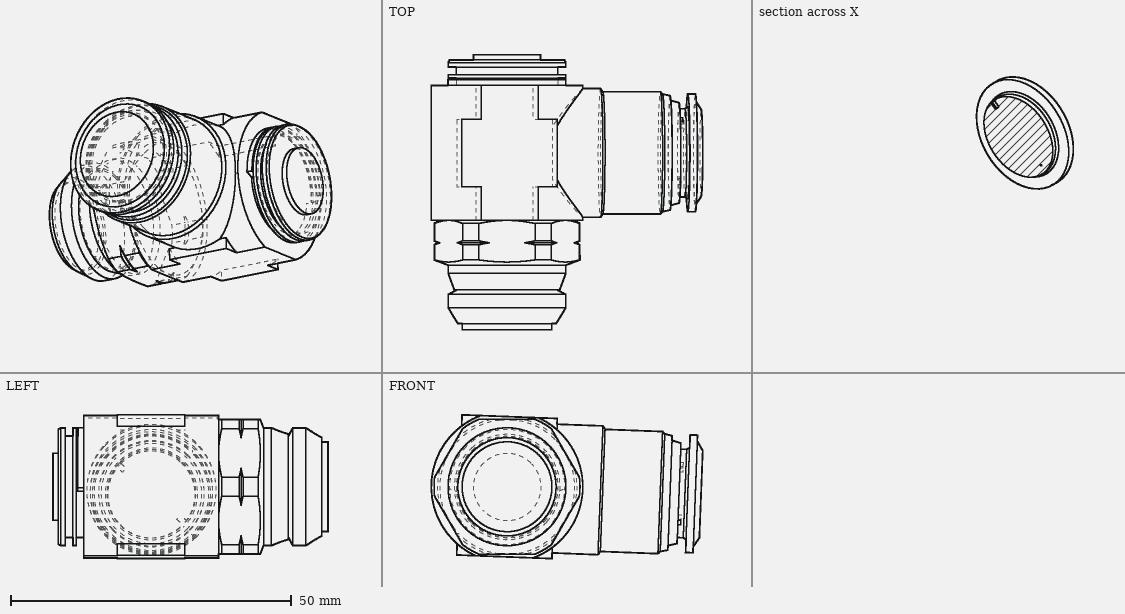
import math

import cadquery as cq

SWIVEL_ANGLE = 2.2

BODY_RADIUS = 13.5
BODY_HALF_LENGTH = 12.0
FLAT_SPACING = 25.0
PAD_WIDTH = 17.0
PAD_LENGTH = 12.0

COLLAR_RADIUS = 10.5
HEX_ACROSS_FLATS = 24.0
HEX_CORNER_RADIUS = 13.0
HEX_START = -BODY_HALF_LENGTH
HEX_END = -20.0
HEX_TOP_CHAMFER = 0.55
HEX_END_CONE = 0.95
HEX_GROOVE_DEPTH = 0.6
HEX_GROOVE_HALF_WIDTH = 0.35
COLLAR_END = -21.4
NECK_CONE_RADIUS = 9.4
NECK_RADIUS = 9.0
NECK_POSITION = -24.4
SEAL_START = -25.2
SEAL_END = -27.55
NOSE_CONE_RADIUS = 8.75
NOSE_CONE_END = -30.4
NOSE_RADIUS = 8.0
STEM_END = -31.5

CAP_NECK_RADIUS = 9.05
CAP_RADIUS = 6.0
CAP_END = 17.5
CAP_FLANGE_BOTTOM = 15.25
CAP_FLANGE_TOP = 16.55
CAP_FLANGE_CHAMFER_HEIGHT = 0.5
CAP_FLANGE_CHAMFER_WIDTH = 0.25
CAP_DISC_BOTTOM = 13.3
CAP_DISC_TOP = 13.95
STOP_RING_HEIGHT = 1.05
STOP_RING_END_Z = -0.2
STOP_RING_END_SLOPE = 22.5

SHELL_RADIUS = 11.5
SHELL_END = 16.65
SHELL_CHAMFER = 0.4
SLEEVE_RADIUS = 10.9
SLEEVE_END = 27.3
SLEEVE_CHAMFER = 0.4
BUSH_TIP_RADIUS = 10.2
BUSH_END = 29.05
LIP_BASE_RADIUS = 9.4
LIP_TIP_RADIUS = 8.95
LIP_END = 30.65
RELEASE_NECK_RADIUS = 7.9
RELEASE_NECK_END = 31.7
RELEASE_FLARE_RADIUS = 8.2
RELEASE_FLANGE_RADIUS = 10.5
RELEASE_FLANGE_START = 32.2
RELEASE_FLANGE_END = 33.55
RELEASE_NOSE_RADIUS = 9.4
RELEASE_TIP_RADIUS = 7.75
OUTLET_END = 34.59
RELEASE_SLOT_LENGTH = 0.5
RELEASE_SLOT_WIDTH = 1.0
RELEASE_SLOT_DEPTH = 1.5
RELEASE_SLOT_ANGLE = 41.0


def turned_on_y(profile):
    """Revolve (radius, y) points about the Y axis, closing the outline on the axis."""
    points = [(0, profile[0][1]), *profile, (0, profile[-1][1])]
    return cq.Workplane("XY").polyline(points).close().revolve(360, (0, 0), (0, 1))


def turned_on_x(profile):
    """Revolve (x, radius) points about the X axis, closing the outline on the axis."""
    points = [(profile[0][0], 0), *profile, (profile[-1][0], 0)]
    return cq.Workplane("XY").polyline(points).close().revolve(360, (0, 0), (1, 0))


def make_body():
    """Cylinder with two flats and a raised cross pad on each flat."""
    body_length = 2 * BODY_HALF_LENGTH
    cylinder = turned_on_y([(BODY_RADIUS, -BODY_HALF_LENGTH), (BODY_RADIUS, BODY_HALF_LENGTH)])
    flats = cq.Workplane("XY").box(2 * BODY_RADIUS, body_length, FLAT_SPACING)
    pads = cq.Workplane("XY").box(PAD_WIDTH, PAD_LENGTH, FLAT_SPACING)
    return cylinder.intersect(flats).union(pads)


def make_outlet():
    """Stepped outlet from the main axis to the release collar."""
    return turned_on_x([
        (0, SHELL_RADIUS),
        (SHELL_END, SHELL_RADIUS),
        (SHELL_END + SHELL_CHAMFER, SLEEVE_RADIUS),
        (SLEEVE_END, SLEEVE_RADIUS),
        (SLEEVE_END + SLEEVE_CHAMFER, SLEEVE_RADIUS - SLEEVE_CHAMFER),
        (BUSH_END, BUSH_TIP_RADIUS),
        (BUSH_END, LIP_BASE_RADIUS),
        (LIP_END, LIP_TIP_RADIUS),
        (LIP_END, RELEASE_NECK_RADIUS),
        (RELEASE_NECK_END, RELEASE_NECK_RADIUS),
        (RELEASE_FLANGE_START, RELEASE_FLARE_RADIUS),
        (RELEASE_FLANGE_START, RELEASE_FLANGE_RADIUS),
        (RELEASE_FLANGE_END, RELEASE_FLANGE_RADIUS),
        (RELEASE_FLANGE_END, RELEASE_NOSE_RADIUS),
        (OUTLET_END, RELEASE_TIP_RADIUS),
    ])


def make_release_slot(angle):
    """Cutter for one short slot in the release collar neck, next to the lip."""
    return (
        cq.Workplane("XY")
        .box(RELEASE_SLOT_LENGTH, 2 * RELEASE_SLOT_DEPTH, RELEASE_SLOT_WIDTH)
        .translate((LIP_END + RELEASE_SLOT_LENGTH / 2, RELEASE_NECK_RADIUS, 0))
        .rotate((0, 0, 0), (1, 0, 0), angle)
    )


def make_hexagon():
    """Wrench hexagon with flats facing +Z and -Z, turned corners and a V groove round them."""
    hex_length = HEX_START - HEX_END
    half_flats = HEX_ACROSS_FLATS / 2
    corner_diameter = HEX_ACROSS_FLATS / math.cos(math.radians(30))
    prism = (
        cq.Workplane("XZ", origin=(0, HEX_START, 0))
        .polygon(6, corner_diameter)
        .extrude(hex_length)
    )
    middle = (HEX_START + HEX_END) / 2
    envelope = turned_on_y([
        (half_flats, HEX_START),
        (HEX_CORNER_RADIUS, HEX_START - HEX_TOP_CHAMFER),
        (HEX_CORNER_RADIUS, middle + HEX_GROOVE_HALF_WIDTH),
        (HEX_CORNER_RADIUS - HEX_GROOVE_DEPTH, middle),
        (HEX_CORNER_RADIUS, middle - HEX_GROOVE_HALF_WIDTH),
        (HEX_CORNER_RADIUS, HEX_END + HEX_END_CONE),
        (COLLAR_RADIUS, HEX_END),
    ])
    return prism.intersect(envelope)


def make_stem():
    """Turned plug end with a tapered neck, a seal ring and a nose."""
    return turned_on_y([
        (COLLAR_RADIUS, HEX_END),
        (COLLAR_RADIUS, COLLAR_END),
        (NECK_CONE_RADIUS, NECK_POSITION),
        (NECK_RADIUS, NECK_POSITION),
        (COLLAR_RADIUS, SEAL_START),
        (COLLAR_RADIUS, SEAL_END),
        (NOSE_CONE_RADIUS, NOSE_CONE_END),
        (NOSE_RADIUS, NOSE_CONE_END),
        (NOSE_RADIUS, STEM_END),
    ])


def make_cap():
    """Turned head with a thin disc, a chamfered flange and a round cap."""
    return turned_on_y([
        (CAP_NECK_RADIUS, BODY_HALF_LENGTH),
        (CAP_NECK_RADIUS, CAP_DISC_BOTTOM),
        (COLLAR_RADIUS, CAP_DISC_BOTTOM),
        (COLLAR_RADIUS, CAP_DISC_TOP),
        (CAP_NECK_RADIUS, CAP_DISC_TOP),
        (CAP_NECK_RADIUS, CAP_FLANGE_BOTTOM),
        (COLLAR_RADIUS, CAP_FLANGE_BOTTOM),
        (COLLAR_RADIUS, CAP_FLANGE_TOP - CAP_FLANGE_CHAMFER_HEIGHT),
        (COLLAR_RADIUS - CAP_FLANGE_CHAMFER_WIDTH, CAP_FLANGE_TOP),
        (CAP_RADIUS, CAP_FLANGE_TOP),
        (CAP_RADIUS, CAP_END),
    ])


def make_stop_ring():
    """Upper half ring on top of the body, its two ends sloping down toward the axis."""
    ring_top = BODY_HALF_LENGTH + STOP_RING_HEIGHT
    disc = turned_on_y([(COLLAR_RADIUS, BODY_HALF_LENGTH), (COLLAR_RADIUS, ring_top)])
    apex_z = STOP_RING_END_Z - COLLAR_RADIUS * math.tan(math.radians(STOP_RING_END_SLOPE))
    sector = (
        cq.Workplane("XZ", origin=(0, ring_top, 0))
        .moveTo(0, apex_z)
        .lineTo(COLLAR_RADIUS, STOP_RING_END_Z)
        .lineTo(COLLAR_RADIUS, COLLAR_RADIUS)
        .lineTo(-COLLAR_RADIUS, COLLAR_RADIUS)
        .lineTo(-COLLAR_RADIUS, STOP_RING_END_Z)
        .close()
        .extrude(STOP_RING_HEIGHT)
    )
    return disc.intersect(sector)


outlet = make_outlet()
for slot_angle in (RELEASE_SLOT_ANGLE, RELEASE_SLOT_ANGLE + 180):
    outlet = outlet.cut(make_release_slot(slot_angle))

swivel = make_body().union(outlet).rotate((0, 0, 0), (0, 1, 0), SWIVEL_ANGLE)

result = (
    swivel
    .union(make_hexagon())
    .union(make_stem())
    .union(make_cap())
    .union(make_stop_ring())
)